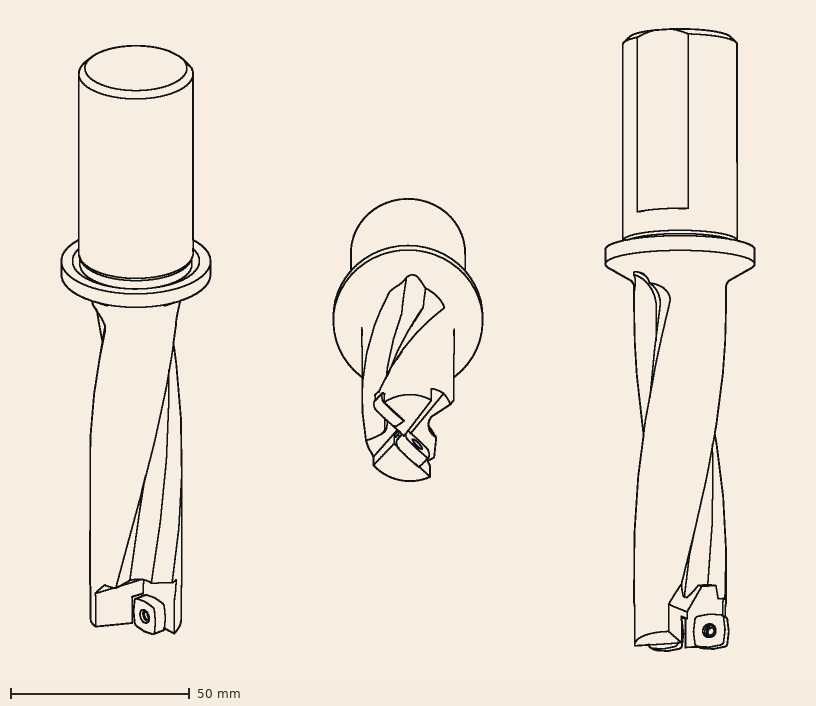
import cadquery as cq
import math

TOTAL_HEIGHT = 174.1
SHANK_DIA = 32.0
SHANK_CHAMFER = 1.7
FLAT_Y = 14.1
FLAT_BOTTOM_Z = 122.7
GROOVE_DIA = 31.3
SHANK_BOTTOM_Z = 116.5
GROOVE_TOP_Z = 115.6
GROOVE_BOTTOM_Z = 113.0
UNDERCUT_DIA = 35.5
COLLAR_DIA = 41.8
COLLAR_TOP_Z = 114.0
COLLAR_BOTTOM_Z = 109.9
BODY_RADIUS = 12.9
NECK_CONE_RADIUS = 14.3
NECK_CONE_Z = 105.9
NECK_FILLET_MID = (13.2, 104.6)
NECK_BOTTOM_Z = 103.0
HEAD_RADIUS = 12.7
HEAD_CONE_TOP_Z = 13.5
HEAD_CONE_BOTTOM_Z = 12.5

RELIEF_RIDGE_Z = 0.7
RELIEF_RIM_Z = 3.1

FLUTE_TOP_Z = 97.1
FLUTE_BOTTOM_Z = 14.0
FLUTE_TWIST_RATE = 1.091
FLUTE_MOUTH_ANGLE = 235.5
FLOOR_OUTER = (-15.5, -4.9)
FLOOR_END = (-5.7, -3.5)
CORNER_MID = (-3.0, -5.4)
WALL_END = (-2.6, -8.9)
WALL_OUTER = (4.0, -14.8)
RUNOUT_AXIS_DIST = 14.8

POCKET_TOP_Z = 17.8
POCKET_SLOPE_RUN = 4.4
OUTER_SLOPE_Z = 10.8
INNER_SLOPE_Z = 13.4
OUTER_WALL_X = -2.1
OUTER_WALL_LEAN = -4.0
INNER_WALL_X = -1.5
INNER_WALL_LEAN = -6.0
SEAT_TOP_Z = 11.0
RAMP_TOP_Y = 4.5

INSERT_CORNER = 4.2
INSERT_BULGE = 4.7
INSERT_CORNER_RADIUS = 1.0
INNER_INSERT_THICKNESS = 3.7
OUTER_INSERT_THICKNESS = 3.1
INNER_INSERT_X = 3.7
OUTER_INSERT_X = -8.7
INNER_INSERT_Z = INSERT_BULGE
OUTER_INSERT_Z = 5.0
COUNTERSINK_DIA = 3.8
COUNTERSINK_DEPTH = 1.7
SCREW_HEAD_DIA = 3.3
SCREW_NECK_DIA = 2.8
COUNTERSINK_SLOPE = (COUNTERSINK_DIA - SCREW_NECK_DIA) / 2 / COUNTERSINK_DEPTH
THREAD_DIA = 2.5
THREAD_LENGTH = 4.2
SOCKET_DIA = 2.3
SOCKET_DEPTH = 1.0

CLEAR = 52.2
BELOW = 1.7


def blank():
    """Turned blank with the relieved tip and the clamping flat."""
    shank_r = SHANK_DIA / 2
    turned = (
        cq.Workplane("XZ")
        .moveTo(0, 0)
        .lineTo(HEAD_RADIUS, 0)
        .lineTo(HEAD_RADIUS, HEAD_CONE_BOTTOM_Z)
        .lineTo(BODY_RADIUS, HEAD_CONE_TOP_Z)
        .lineTo(BODY_RADIUS, NECK_BOTTOM_Z)
        .threePointArc(NECK_FILLET_MID, (NECK_CONE_RADIUS, NECK_CONE_Z))
        .lineTo(COLLAR_DIA / 2, COLLAR_BOTTOM_Z)
        .lineTo(COLLAR_DIA / 2, COLLAR_TOP_Z)
        .lineTo(UNDERCUT_DIA / 2, COLLAR_TOP_Z)
        .lineTo(GROOVE_DIA / 2, GROOVE_BOTTOM_Z)
        .lineTo(GROOVE_DIA / 2, GROOVE_TOP_Z)
        .lineTo(shank_r, SHANK_BOTTOM_Z)
        .lineTo(shank_r, TOTAL_HEIGHT - SHANK_CHAMFER)
        .lineTo(shank_r - SHANK_CHAMFER, TOTAL_HEIGHT)
        .lineTo(0, TOTAL_HEIGHT)
        .close()
        .revolve(360, (0, 0, 0), (0, 1, 0))
    )
    flat_cut = (
        cq.Workplane("XY", origin=(0, 0, FLAT_BOTTOM_Z))
        .center(0, FLAT_Y + CLEAR / 2)
        .rect(CLEAR, CLEAR)
        .extrude(TOTAL_HEIGHT)
    )
    relief_cut = (
        cq.Workplane("YZ")
        .moveTo(0, RELIEF_RIDGE_Z)
        .lineTo(BODY_RADIUS, RELIEF_RIM_Z)
        .lineTo(BODY_RADIUS, -BELOW)
        .lineTo(-BODY_RADIUS, -BELOW)
        .lineTo(-BODY_RADIUS, RELIEF_RIM_Z)
        .close()
        .extrude(CLEAR, both=True)
    )
    return turned.cut(flat_cut).cut(relief_cut)


def flute_section(plane):
    """Flute outline: flat floor, round corner and leaning wall, closed outside the body.

    Local x points out of the flute and local y lies across it.
    """

    def local(point):
        a = math.radians(-FLUTE_MOUTH_ANGLE)
        return (
            point[0] * math.cos(a) - point[1] * math.sin(a),
            point[0] * math.sin(a) + point[1] * math.cos(a),
        )

    floor_outer = local(FLOOR_OUTER)
    wall_outer = local(WALL_OUTER)
    return (
        plane.moveTo(RUNOUT_AXIS_DIST, floor_outer[1])
        .lineTo(*floor_outer)
        .lineTo(*local(FLOOR_END))
        .threePointArc(local(CORNER_MID), local(WALL_END))
        .lineTo(*wall_outer)
        .lineTo(RUNOUT_AXIS_DIST, wall_outer[1])
        .close()
    )


def flute_cutters():
    """Helical length and the round run-out above it."""
    helix_length = FLUTE_TOP_Z - FLUTE_BOTTOM_Z
    twist = FLUTE_TWIST_RATE * helix_length
    helix = (
        flute_section(cq.Workplane("XY"))
        .twistExtrude(helix_length, twist)
        .rotate((0, 0, 0), (0, 0, 1), -twist)
        .translate((0, 0, FLUTE_BOTTOM_Z))
    )
    runout = flute_section(cq.Workplane("XY", origin=(0, 0, FLUTE_TOP_Z))).revolve(
        90, (RUNOUT_AXIS_DIST, 0, 0), (RUNOUT_AXIS_DIST, 1, 0)
    )
    return [helix, runout]


def pocket_sides(wall_x, lean, slope_z, open_side):
    """Pocket side walls, cut through along Y and open towards +X (1) or -X (-1).

    The main wall stands at wall_x on the drill axis and is turned about it by lean degrees.
    """
    return (
        cq.Workplane("XZ")
        .moveTo(wall_x, -BELOW)
        .lineTo(wall_x, slope_z)
        .lineTo(wall_x + open_side * POCKET_SLOPE_RUN, POCKET_TOP_Z)
        .lineTo(open_side * CLEAR, POCKET_TOP_Z)
        .lineTo(open_side * CLEAR, -BELOW)
        .close()
        .extrude(CLEAR, both=True)
        .rotate((wall_x, 0, 0), (wall_x, 0, 1), lean)
    )


def outer_pocket():
    """Pocket in front of the outer insert, open towards -X and +Y."""
    front_half = cq.Workplane("XY").box(2 * CLEAR, CLEAR, 2 * CLEAR, centered=(True, False, True))
    return pocket_sides(OUTER_WALL_X, OUTER_WALL_LEAN, OUTER_SLOPE_Z, -1).intersect(front_half)


def inner_pocket():
    """Pocket for the inner insert, open towards +X and -Y, with a ramped floor."""
    reach = (
        cq.Workplane("YZ")
        .moveTo(-CLEAR, -BELOW)
        .lineTo(INNER_INSERT_THICKNESS, -BELOW)
        .lineTo(INNER_INSERT_THICKNESS, SEAT_TOP_Z)
        .lineTo(RAMP_TOP_Y, POCKET_TOP_Z)
        .lineTo(-CLEAR, POCKET_TOP_Z)
        .close()
        .extrude(CLEAR, both=True)
    )
    return pocket_sides(INNER_WALL_X, INNER_WALL_LEAN, INNER_SLOPE_Z, 1).intersect(reach)


def rim_clearance():
    """Clears the body around the lower outside corner of the outer insert."""
    return cq.Workplane("XY").box(CLEAR, OUTER_INSERT_THICKNESS, CLEAR, centered=False).translate(
        (OUTER_INSERT_X - CLEAR, -OUTER_INSERT_THICKNESS, OUTER_INSERT_Z - CLEAR)
    )


def core_clearance():
    """Opens the outer pocket to the inner edge of the inner insert."""
    width = INNER_INSERT_X - OUTER_WALL_X
    height = INNER_INSERT_Z + INSERT_CORNER
    return cq.Workplane("XY").box(width, INNER_INSERT_THICKNESS, height, centered=False).translate(
        (OUTER_WALL_X, 0, 0)
    )


def placed(shape, center_x, center_z, faces_plus_y):
    """Move a shape made facing -Y at the origin to its seat in the head."""
    if faces_plus_y:
        shape = shape.rotate((0, 0, 0), (0, 0, 1), 180)
    return shape.translate((center_x, 0, center_z))


def insert_blank(thickness):
    """Square insert with bulged sides; its face lies at Y = 0 and looks to -Y."""
    c = INSERT_CORNER
    b = INSERT_BULGE
    outline = [(c, c), (0, b), (-c, c), (-b, 0), (-c, -c), (0, -b), (c, -c), (b, 0)]
    return (
        cq.Workplane("XZ")
        .polyline(outline)
        .close()
        .extrude(-thickness)
        .edges("|Y")
        .edges("not (<X or >X or <Z or >Z)")
        .fillet(INSERT_CORNER_RADIUS)
    )


def screw_blank(thickness, head_depth):
    """Screw envelope from the given depth below the insert face to the thread end."""
    head_r = COUNTERSINK_DIA / 2 - COUNTERSINK_SLOPE * head_depth
    thread_end = thickness + THREAD_LENGTH
    return (
        cq.Workplane("XY")
        .moveTo(0, head_depth)
        .lineTo(head_r, head_depth)
        .lineTo(SCREW_NECK_DIA / 2, COUNTERSINK_DEPTH)
        .lineTo(SCREW_NECK_DIA / 2, thickness)
        .lineTo(THREAD_DIA / 2, thickness)
        .lineTo(THREAD_DIA / 2, thread_end)
        .lineTo(0, thread_end)
        .close()
        .revolve(360, (0, 0, 0), (0, 1, 0))
    )


def insert(thickness):
    """Insert with the countersunk screw hole."""
    return insert_blank(thickness).cut(screw_blank(thickness, 0))


def screw(thickness):
    """Countersunk screw with a round drive socket."""
    head_depth = (COUNTERSINK_DIA - SCREW_HEAD_DIA) / 2 / COUNTERSINK_SLOPE
    socket = cq.Workplane("XZ", origin=(0, head_depth, 0)).circle(SOCKET_DIA / 2).extrude(-SOCKET_DEPTH)
    return screw_blank(thickness, head_depth).cut(socket)


SEATS = [
    (INNER_INSERT_THICKNESS, INNER_INSERT_X, INNER_INSERT_Z, False),
    (OUTER_INSERT_THICKNESS, OUTER_INSERT_X, OUTER_INSERT_Z, True),
]

drill = blank()
for turn in (0, 180):
    for cutter in flute_cutters():
        drill = drill.cut(cutter.rotate((0, 0, 0), (0, 0, 1), FLUTE_MOUTH_ANGLE + turn))
drill = drill.cut(outer_pocket()).cut(inner_pocket()).cut(rim_clearance()).cut(core_clearance())
for thickness, x, z, faces_plus_y in SEATS:
    drill = drill.cut(placed(insert_blank(thickness), x, z, faces_plus_y))
    drill = drill.cut(placed(screw_blank(thickness, 0), x, z, faces_plus_y))

inserts = []
screws = []
for thickness, x, z, faces_plus_y in SEATS:
    inserts.append(placed(insert(thickness), x, z, faces_plus_y).val())
    screws.append(placed(screw(thickness), x, z, faces_plus_y).val())

result = cq.Compound.makeCompound([*drill.vals(), *inserts, *screws])